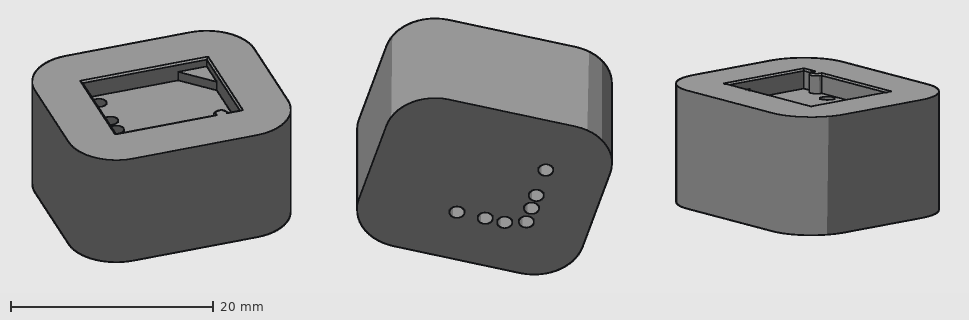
import cadquery as cq

BLOCK_X = 20.0
BLOCK_Y = 23.0
BLOCK_Z = 12.0
CORNER_RADIUS = 5.0

POCKET_X = 10.0
POCKET_Y = 13.0
POCKET_DEPTH = 2.0
RIM_CHAMFER = 0.2

LEDGE_LEG = 3.0
LEDGE_HEIGHT = 1.0

ROUND_DIAMETER = 1.5
KEY_Y = 4.5

COLUMN_X = 4.0
COLUMN_HOLE_Y = [1.7, -1.2, -3.2]
ROW_Y = -5.25
ROW_HOLE_X = [-3.7, -0.25, 1.5, 3.35]

FLOOR_Z = BLOCK_Z - POCKET_DEPTH
WALL_X = POCKET_X / 2
WALL_Y = POCKET_Y / 2


def make_block():
    block = cq.Workplane("XY").rect(BLOCK_X, BLOCK_Y).extrude(BLOCK_Z)
    return block.edges("|Z").fillet(CORNER_RADIUS)


def make_pocket():
    """Pocket volume, with the half-round key left standing and a flared rim."""
    pocket = cq.Workplane("XY", origin=(0, 0, FLOOR_Z)).rect(POCKET_X, POCKET_Y).extrude(POCKET_DEPTH)
    key = (
        cq.Workplane("XY", origin=(WALL_X, KEY_Y, FLOOR_Z))
        .circle(ROUND_DIAMETER / 2)
        .extrude(POCKET_DEPTH)
    )
    return pocket.cut(key)


def make_ledge():
    """Triangular step on the pocket floor, filling the -X +Y corner."""
    return (
        cq.Workplane("XY", origin=(-WALL_X, WALL_Y, FLOOR_Z))
        .polyline([(0, 0), (LEDGE_LEG, 0), (0, -LEDGE_LEG)])
        .close()
        .extrude(LEDGE_HEIGHT)
    )


def make_holes():
    column = [(COLUMN_X, y) for y in COLUMN_HOLE_Y]
    row = [(x, ROW_Y) for x in ROW_HOLE_X]
    return cq.Workplane("XY").pushPoints(column + row).circle(ROUND_DIAMETER / 2).extrude(BLOCK_Z)


def chamfer_rim(body):
    """Chamfer the pocket's top outline, including the top of the key."""
    rim_wire = body.faces(">Z").val().innerWires()[0]
    return body.newObject(rim_wire.Edges()).chamfer(RIM_CHAMFER)


body = make_block().cut(make_pocket())
body = chamfer_rim(body)
body = body.union(make_ledge())
result = body.cut(make_holes())